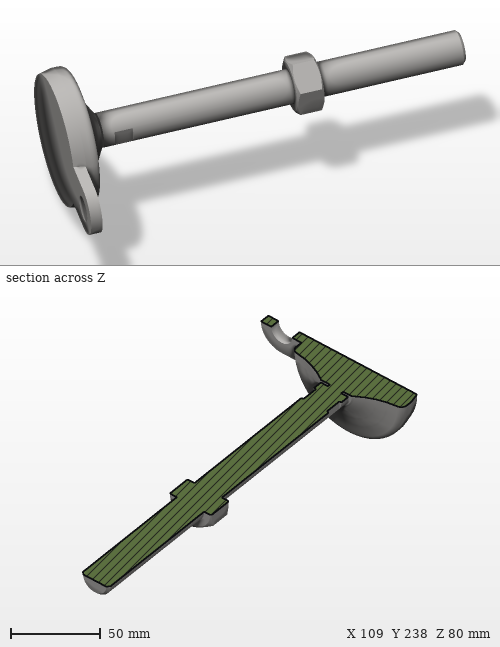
import cadquery as cq
import math

total_length = 238.0

pad_radius = 40.0
pad_bottom_radius = 38.3
taper_top = 7.1
rim_top = 11.0
shoulder_radius = 36.2
shoulder_height = 15.2
flare_mid_radius = 22.1
flare_mid_height = 18.5
neck_base_radius = 12.1
neck_base_height = 23.8
neck_top_radius = 11.2
neck_top_height = 24.5

lug_end_radius = 15.0
lug_reach = 69.0
lug_thickness = 6.7
lug_hole_diameter = 15.0

rod_diameter = 20.0
rod_start = 26.0
rod_chamfer = 1.7
pin_diameter = 10.0
flats_width = 17.1
flats_start = 32.4
flats_length = 10.7

nut_across_flats = 30.0
nut_thickness = 16.0
nut_start = 137.5
nut_face_diameter = 28.5
nut_chamfer_angle = 30.0


def plane_at(height):
    """Plane across the axis, local x along X and normal along +Y."""
    return cq.Workplane(cq.Plane(origin=(0, height, 0), xDir=(1, 0, 0), normal=(0, 1, 0)))


def revolve_about_axis(profile):
    return profile.close().revolve(360, (0, 0, 0), (0, 1, 0))


def make_pad():
    bulge = math.sqrt(0.5)
    rim_mid = (
        shoulder_radius + (pad_radius - shoulder_radius) * bulge,
        rim_top + (shoulder_height - rim_top) * bulge,
    )
    profile = (
        cq.Workplane("XY")
        .lineTo(pad_bottom_radius, 0)
        .lineTo(pad_radius, taper_top)
        .lineTo(pad_radius, rim_top)
        .threePointArc(rim_mid, (shoulder_radius, shoulder_height))
        .threePointArc((flare_mid_radius, flare_mid_height), (neck_base_radius, neck_base_height))
        .lineTo(neck_top_radius, neck_top_height)
        .lineTo(0, neck_top_height)
    )
    return revolve_about_axis(profile)


def make_lug():
    hole_x = lug_reach - lug_end_radius
    bar = plane_at(0).center(hole_x / 2, 0).rect(hole_x, 2 * lug_end_radius).extrude(lug_thickness)
    rounded_end = plane_at(0).center(hole_x, 0).circle(lug_end_radius).extrude(lug_thickness)
    hole = plane_at(0).center(hole_x, 0).circle(lug_hole_diameter / 2).extrude(lug_thickness)
    return bar.union(rounded_end).cut(hole)


def make_spindle():
    rod = plane_at(rod_start).circle(rod_diameter / 2).extrude(total_length - rod_start)
    rod = rod.faces(">Y").chamfer(rod_chamfer)
    flats_mid = flats_start + flats_length / 2
    for side in (-1, 1):
        cutter_x = side * (flats_width + rod_diameter) / 2
        cutter = cq.Workplane("XY").box(rod_diameter, flats_length, rod_diameter)
        rod = rod.cut(cutter.translate((cutter_x, flats_mid, 0)))
    pin = plane_at(neck_base_height).circle(pin_diameter / 2).extrude(rod_start - neck_base_height)
    return rod.union(pin)


def make_nut():
    corner_radius = nut_across_flats / math.sqrt(3)
    hexagon = (
        plane_at(nut_start)
        .transformed(rotate=(0, 0, 30))
        .polygon(6, 2 * corner_radius)
        .extrude(nut_thickness)
    )
    face_radius = nut_face_diameter / 2
    chamfer_height = (corner_radius - face_radius) * math.tan(math.radians(nut_chamfer_angle))
    nut_end = nut_start + nut_thickness
    profile = (
        cq.Workplane("XY")
        .moveTo(0, nut_start)
        .lineTo(face_radius, nut_start)
        .lineTo(corner_radius, nut_start + chamfer_height)
        .lineTo(corner_radius, nut_end - chamfer_height)
        .lineTo(face_radius, nut_end)
        .lineTo(0, nut_end)
    )
    return hexagon.intersect(revolve_about_axis(profile))


result = make_pad().union(make_lug()).union(make_spindle()).union(make_nut())